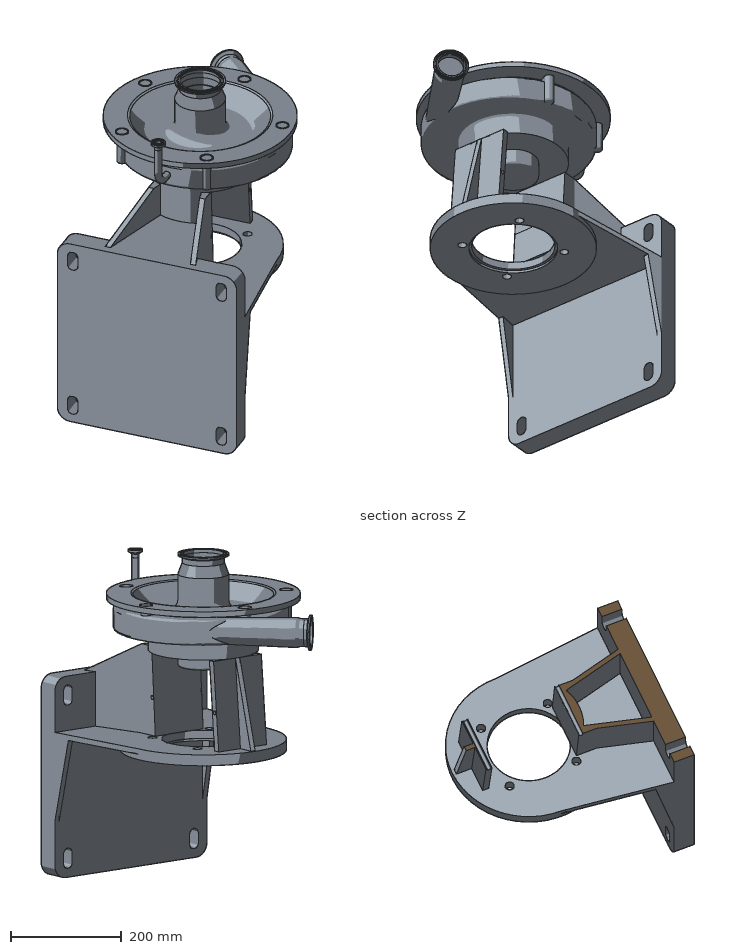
import cadquery as cq
import math


plate_width = 350.0
plate_height = 370.0
plate_thickness = 40.0
plate_back_y = -210.0
plate_corner_radius = 25.0
slot_width = 20.0
slot_height = 37.0
slot_offset_x = 145.0
slot_offset_z = 150.0

shelf_top_z = 270.0
disc_radius = 150.0
disc_thickness = 20.0
shelf_thickness = 10.0
motor_bore_radius = 75.0
motor_spigot_radius = 80.0
motor_spigot_depth = 5.0
motor_bolt_circle_radius = 92.5
motor_bolt_diameter = 16.0
motor_bolt_count = 4
motor_bolt_first_angle = 45.0
brace_thickness = 10.0
brace_reach = 34.0
brace_drop = 154.0

lantern_top_z = 434.0
lantern_radius = 99.5
leg_half_width = 55.0
leg_thickness = 12.0
front_leg_inner_top_y = -80.5
front_leg_inner_bottom_y = -70.0
rear_leg_inner_top_y = 87.0
rear_leg_inner_bottom_y = 102.0
rear_rib_top_y = lantern_radius
rear_rib_bottom_y = 144.0
rib_thickness = 10.0
rib_bend_y = -110.0
rib_end_y = -234.0
rib_web_thickness = 10.0
rib_splay = math.radians(15)
pin_hole_diameter = 7.0
pin_hole_z = 340.0
pin_hole_front_y = -79.0
pin_hole_rear_y = 101.5

casing_bottom_z = 474.0
casing_top_z = 520.0
casing_radius = 158.2
casing_center_x = 8.0
casing_center_y = 3.0
casing_top_round = 7.0
casing_bottom_round = 4.0
collar_fillet = 6.0
cover_neck_radius = 140.0
can_radius = 46.0
can_bottom_z = 404.0
can_round = 4.0

flange_bottom_z = 528.0
flange_top_z = 538.0
flange_radius = 175.0
bowl_floor_z = 506.0
bowl_lip_radius = 131.0
bowl_mouth_radius = 127.0
bowl_lip_depth = 2.0
bowl_cone_foot_radius = 100.5
bowl_cone_foot_z = 509.0
bowl_floor_radius = 92.0
bolt_count = 5
bolt_circle_radius = 152.5
bolt_first_angle = 9.0
boss_radius = 9.3
boss_web_length = 20.0
bolt_recess_radius = 12.0
bolt_head_radius = 10.5
bolt_recess_depth = 2.0

gasket_groove_width = 2.5
gasket_groove_depth = 1.2

inlet_top_z = 610.5
inlet_tube_radius = 46.0
inlet_root_fillet = 20.0
inlet_neck_radius = 38.1
inlet_bore_radius = 36.4
inlet_bore_depth = 30.0
inlet_inner_bore_radius = 34.5
inlet_groove_radius = 41.0
inlet_cone_bottom_z = 573.0
inlet_cone_top_z = 594.0
inlet_rim_thickness = 3.0
inlet_rim_taper = 3.5

outlet_center_z = (casing_bottom_z + casing_top_z) / 2
outlet_axis_offset = 138.9
outlet_end = 212.1
outlet_heading = 45.0
outlet_tube_radius = 27.2
outlet_root_radius = (casing_top_z - casing_bottom_z) / 2
outlet_neck_radius = 25.4
outlet_rim_radius = 32.0
outlet_rim_thickness = 3.0
outlet_rim_taper = 2.7
outlet_neck_length = 19.5
outlet_cone_length = 6.5
outlet_collar_length = 8.4
outlet_bore_radius = 23.75
outlet_bore_depth = 12.0
outlet_groove_radius = 28.0

drain_radius = 6.8
drain_rise_y = -197.0
drain_bend_radius = 29.0
drain_start_y = -145.0
drain_top_z = 587.0
drain_rim_radius = 13.0
drain_rim_thickness = 4.0
drain_taper = 4.0
drain_bore_radius = 5.0
drain_bore_depth = 15.0
drain_groove_radius = 9.0


def cylinder(radius, bottom_z, top_z, x=0.0, y=0.0):
    """Vertical cylinder between two heights."""
    return cq.Workplane("XY", origin=(x, y, bottom_z)).circle(radius).extrude(top_z - bottom_z)


def revolve_about_z(profile):
    """Revolve an outline of (radius, z) points about the Z axis."""
    return profile.close().revolve(360, (0, 0, 0), (0, 1, 0))


def plate_in_yz(points, x_center, thickness):
    """Plate with a (y, z) outline, centred on x_center."""
    start = cq.Workplane("YZ", origin=(x_center - thickness / 2, 0, 0))
    return start.polyline(points).close().extrude(thickness)


def rim_groove(center_radius, rim_z):
    """Annular gasket groove cut down from a clamp rim at rim_z."""
    outer = cylinder(center_radius + gasket_groove_width / 2, rim_z - gasket_groove_depth, rim_z)
    return outer.cut(cylinder(center_radius - gasket_groove_width / 2, rim_z - gasket_groove_depth, rim_z))


def make_wall_plate():
    plate = cq.Workplane("XY").box(plate_width, plate_thickness, plate_height)
    plate = plate.edges("|Y").fillet(plate_corner_radius)
    slot_centers = [(sx * slot_offset_x, sz * slot_offset_z) for sx in (-1, 1) for sz in (-1, 1)]
    slots = (
        cq.Workplane("XZ", origin=(0, plate_thickness, 0))
        .pushPoints(slot_centers)
        .slot2D(slot_height, slot_width, 90)
        .extrude(2 * plate_thickness)
    )
    return plate.cut(slots).translate((0, plate_back_y - plate_thickness / 2, plate_height / 2))


def make_shelf():
    outline = [
        (-disc_radius, 0),
        (disc_radius, 0),
        (plate_width / 2, plate_back_y),
        (-plate_width / 2, plate_back_y),
    ]
    bottom_z = shelf_top_z - shelf_thickness
    bottom_face_z = shelf_top_z - disc_thickness
    shelf = cq.Workplane("XY", origin=(0, 0, bottom_z)).polyline(outline).close().extrude(shelf_thickness)
    shelf = shelf.union(cylinder(disc_radius, bottom_face_z, shelf_top_z))
    shelf = shelf.cut(cylinder(motor_bore_radius, bottom_face_z, shelf_top_z))
    shelf = shelf.cut(cylinder(motor_spigot_radius, bottom_face_z, bottom_face_z + motor_spigot_depth))
    bolt_holes = (
        cq.Workplane("XY", origin=(0, 0, bottom_face_z))
        .polarArray(motor_bolt_circle_radius, motor_bolt_first_angle, 360, motor_bolt_count)
        .circle(motor_bolt_diameter / 2)
        .extrude(disc_thickness)
    )
    return shelf.cut(bolt_holes)


def make_braces():
    """Triangular braces under the shelf, flush with its flared side edges."""
    top_z = shelf_top_z - shelf_thickness
    outline = [
        (plate_back_y + brace_reach, top_z),
        (plate_back_y, top_z),
        (plate_back_y, top_z - brace_drop),
    ]
    plan = [
        (disc_radius, 0),
        (plate_width / 2, plate_back_y),
        (plate_width / 2 - brace_thickness, plate_back_y),
        (disc_radius - brace_thickness, 0),
    ]
    start = cq.Workplane("XY", origin=(0, 0, top_z - brace_drop))
    brace = start.polyline(plan).close().extrude(brace_drop)
    brace = brace.intersect(plate_in_yz(outline, 0, plate_width))
    return brace.union(brace.mirror("YZ"))


def make_front_leg():
    """Leg with a round front and flat sides; its inner face leans."""
    side = [
        (front_leg_inner_bottom_y, shelf_top_z),
        (front_leg_inner_top_y, lantern_top_z),
        (-lantern_radius, lantern_top_z),
        (-lantern_radius, shelf_top_z),
    ]
    slab = plate_in_yz(side, 0, 2 * leg_half_width)
    return slab.intersect(cylinder(lantern_radius, shelf_top_z, lantern_top_z))


def make_splayed_ribs():
    """Two ribs from the front leg to the top of the wall plate, with a level web between them."""
    run = rib_bend_y - rib_end_y
    spread = run * math.tan(rib_splay)
    inner_x = leg_half_width - rib_thickness / math.cos(rib_splay)
    root_run = rib_bend_y - front_leg_inner_top_y
    plan = [
        (leg_half_width, front_leg_inner_bottom_y),
        (leg_half_width, rib_bend_y),
        (leg_half_width + spread, rib_end_y),
        (inner_x + spread, rib_end_y),
        (inner_x + root_run * math.tan(rib_splay), front_leg_inner_top_y),
        (inner_x + root_run * math.tan(rib_splay), front_leg_inner_bottom_y),
    ]
    side = [
        (front_leg_inner_bottom_y, shelf_top_z),
        (front_leg_inner_top_y, lantern_top_z),
        (rib_bend_y, lantern_top_z),
        (rib_end_y, plate_height),
        (plate_back_y, plate_height),
        (plate_back_y, shelf_top_z),
    ]
    start = cq.Workplane("XY", origin=(0, 0, shelf_top_z))
    rib = start.polyline(plan).close().extrude(lantern_top_z - shelf_top_z)
    rib = rib.intersect(plate_in_yz(side, 0, plate_width))
    web_root_x = leg_half_width - rib_thickness
    web_end_x = web_root_x + (rib_bend_y - plate_back_y) * math.tan(rib_splay)
    web_outline = [
        (-web_root_x, front_leg_inner_top_y),
        (web_root_x, front_leg_inner_top_y),
        (web_root_x, rib_bend_y),
        (web_end_x, plate_back_y),
        (-web_end_x, plate_back_y),
        (-web_root_x, rib_bend_y),
    ]
    web_start = cq.Workplane("XY", origin=(0, 0, plate_height - rib_web_thickness))
    web = web_start.polyline(web_outline).close().extrude(rib_web_thickness)
    return rib.union(rib.mirror("YZ")).union(web)


def make_rear_leg():
    """Leaning flat slab stiffened by a central rib."""
    slab = [
        (rear_leg_inner_bottom_y, shelf_top_z),
        (rear_leg_inner_top_y, lantern_top_z),
        (rear_leg_inner_top_y + leg_thickness, lantern_top_z),
        (rear_leg_inner_bottom_y + leg_thickness, shelf_top_z),
    ]
    rib = [
        (rear_leg_inner_bottom_y, shelf_top_z),
        (rear_leg_inner_top_y, lantern_top_z),
        (rear_rib_top_y, lantern_top_z),
        (rear_rib_bottom_y, shelf_top_z),
    ]
    return plate_in_yz(slab, 0, 2 * leg_half_width).union(plate_in_yz(rib, 0, rib_thickness))


def make_pin_holes():
    return (
        cq.Workplane("YZ", origin=(-plate_width / 2, 0, 0))
        .pushPoints([(pin_hole_front_y, pin_hole_z), (pin_hole_rear_y, pin_hole_z)])
        .circle(pin_hole_diameter / 2)
        .extrude(plate_width)
    )


def make_casing():
    """Eccentric casing on its collar, with the motor-side can below."""
    casing = cylinder(casing_radius, casing_bottom_z, casing_top_z, casing_center_x, casing_center_y)
    casing = casing.faces(">Z").edges().fillet(casing_top_round)
    casing = casing.faces("<Z").edges().fillet(casing_bottom_round)
    fillet_z = casing_bottom_z - collar_fillet
    arc_inset = collar_fillet * (1 - math.sqrt(0.5))
    collar = revolve_about_z(
        cq.Workplane("XZ")
        .moveTo(0, lantern_top_z)
        .lineTo(lantern_radius, lantern_top_z)
        .lineTo(lantern_radius, fillet_z)
        .threePointArc(
            (lantern_radius + arc_inset, casing_bottom_z - arc_inset),
            (lantern_radius + collar_fillet, casing_bottom_z),
        )
        .lineTo(0, casing_bottom_z)
    )
    can = cylinder(can_radius, can_bottom_z, lantern_top_z).faces("<Z").edges().fillet(can_round)
    neck = cylinder(cover_neck_radius, casing_top_z - casing_top_round, flange_bottom_z)
    return casing.union(collar).union(can).union(neck)


def make_bolt_boss(angle):
    """Boss below the flange, with a straight-sided web toward the pump axis."""
    boss = cylinder(boss_radius, casing_bottom_z, flange_bottom_z, bolt_circle_radius)
    web = cq.Workplane("XY").box(
        boss_web_length,
        2 * boss_radius,
        flange_bottom_z - casing_bottom_z,
        centered=(False, True, False),
    )
    boss = boss.union(web.translate((bolt_circle_radius - boss_web_length, 0, casing_bottom_z)))
    boss = boss.faces("<Z").edges().fillet(casing_bottom_round)
    return boss.rotate((0, 0, 0), (0, 0, 1), angle)


def make_cover_flange():
    flange = cylinder(flange_radius, flange_bottom_z, flange_top_z)
    for index in range(bolt_count):
        angle = bolt_first_angle + index * 360 / bolt_count
        x = bolt_circle_radius * math.cos(math.radians(angle))
        y = bolt_circle_radius * math.sin(math.radians(angle))
        flange = flange.union(make_bolt_boss(angle))
        recess_z = flange_top_z - bolt_recess_depth
        recess = cylinder(bolt_recess_radius, recess_z, flange_top_z, x, y)
        head = cylinder(bolt_head_radius, recess_z, flange_top_z, x, y)
        flange = flange.cut(recess.cut(head))
    return flange


def make_bowl_cut():
    """Dished recess of the cover, left open around the inlet tube."""
    fillet_top_z = bowl_floor_z + inlet_root_fillet
    arc_inset = inlet_root_fillet * (1 - math.sqrt(0.5))
    return revolve_about_z(
        cq.Workplane("XZ")
        .moveTo(inlet_tube_radius, flange_top_z)
        .lineTo(inlet_tube_radius, fillet_top_z)
        .threePointArc(
            (inlet_tube_radius + arc_inset, bowl_floor_z + arc_inset),
            (inlet_tube_radius + inlet_root_fillet, bowl_floor_z),
        )
        .lineTo(bowl_floor_radius, bowl_floor_z)
        .tangentArcPoint((bowl_cone_foot_radius, bowl_cone_foot_z), relative=False)
        .lineTo(bowl_mouth_radius, flange_top_z - bowl_lip_depth)
        .lineTo(bowl_lip_radius, flange_top_z)
    )


def make_inlet():
    rim_z = inlet_top_z - inlet_rim_thickness
    inlet = revolve_about_z(
        cq.Workplane("XZ")
        .moveTo(0, bowl_floor_z)
        .lineTo(inlet_tube_radius, bowl_floor_z)
        .lineTo(inlet_tube_radius, inlet_cone_bottom_z)
        .lineTo(inlet_neck_radius, inlet_cone_top_z)
        .lineTo(inlet_neck_radius, rim_z - inlet_rim_taper)
        .lineTo(inlet_tube_radius, rim_z)
        .lineTo(inlet_tube_radius, inlet_top_z)
        .lineTo(0, inlet_top_z)
    )
    inlet = inlet.cut(cylinder(inlet_bore_radius, inlet_top_z - inlet_bore_depth, inlet_top_z))
    inlet = inlet.cut(cylinder(inlet_inner_bore_radius, bowl_floor_z, inlet_top_z))
    return inlet.cut(rim_groove(inlet_groove_radius, inlet_top_z))


def make_outlet():
    """Tangential outlet built along +Z, then laid over to point between -X and +Y."""
    rim_z = outlet_end - outlet_rim_thickness
    neck_z = outlet_end - outlet_neck_length
    outlet = revolve_about_z(
        cq.Workplane("XZ")
        .moveTo(0, 0)
        .lineTo(outlet_root_radius, 0)
        .lineTo(outlet_tube_radius, neck_z - outlet_cone_length - outlet_collar_length)
        .lineTo(outlet_tube_radius, neck_z - outlet_cone_length)
        .lineTo(outlet_neck_radius, neck_z)
        .lineTo(outlet_neck_radius, rim_z - outlet_rim_taper)
        .lineTo(outlet_rim_radius, rim_z)
        .lineTo(outlet_rim_radius, outlet_end)
        .lineTo(0, outlet_end)
    )
    outlet = outlet.cut(cylinder(outlet_bore_radius, outlet_end - outlet_bore_depth, outlet_end))
    outlet = outlet.cut(rim_groove(outlet_groove_radius, outlet_end))
    outlet = outlet.rotate((0, 0, 0), (1, 0, 0), -90)
    outlet = outlet.translate((outlet_axis_offset, 0, outlet_center_z))
    return outlet.rotate((0, 0, 0), (0, 0, 1), outlet_heading)


def make_drain():
    """Small pipe leaving the casing toward -Y and turning up to a clamp rim."""
    level_z = outlet_center_z
    bend_y = drain_rise_y + drain_bend_radius
    bend_z = level_z + drain_bend_radius
    rim_z = drain_top_z - drain_rim_thickness
    bend_mid = drain_bend_radius * math.sqrt(0.5)
    path = (
        cq.Workplane("YZ")
        .moveTo(drain_start_y, level_z)
        .lineTo(bend_y, level_z)
        .threePointArc((bend_y - bend_mid, bend_z - bend_mid), (drain_rise_y, bend_z))
        .lineTo(drain_rise_y, rim_z)
    )
    pipe = cq.Workplane("XZ", origin=(0, drain_start_y, level_z)).circle(drain_radius).sweep(path)
    rim = revolve_about_z(
        cq.Workplane("XZ")
        .moveTo(0, rim_z - drain_taper)
        .lineTo(drain_radius, rim_z - drain_taper)
        .lineTo(drain_rim_radius, rim_z)
        .lineTo(drain_rim_radius, drain_top_z)
        .lineTo(0, drain_top_z)
    ).translate((0, drain_rise_y, 0))
    bore = cylinder(drain_bore_radius, drain_top_z - drain_bore_depth, drain_top_z, 0, drain_rise_y)
    groove = rim_groove(drain_groove_radius, drain_top_z).translate((0, drain_rise_y, 0))
    return pipe.union(rim).cut(bore).cut(groove)


lantern = make_front_leg().union(make_splayed_ribs()).union(make_rear_leg()).cut(make_pin_holes())
bracket = make_wall_plate().union(make_shelf()).union(make_braces()).union(lantern)
pump = make_casing().union(make_cover_flange()).union(make_outlet()).cut(make_bowl_cut())
pump = pump.union(make_inlet()).union(make_drain())
result = bracket.union(pump)